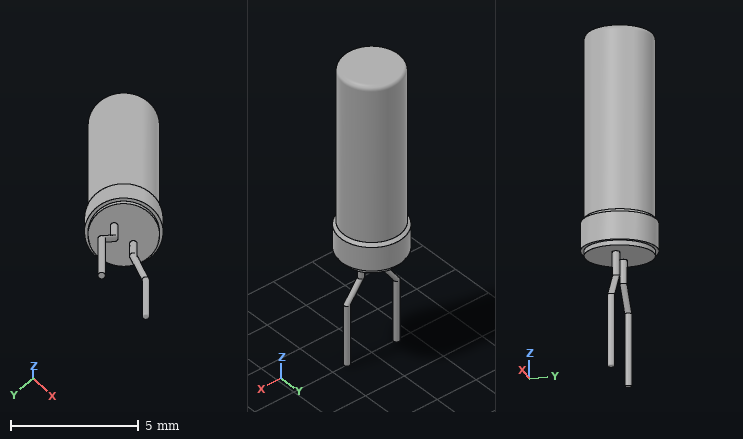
import cadquery as cq

can_diameter = 2.82
can_height = 9.2
can_top_fillet = 0.25

collar_diameter = 3.1
collar_bottom = 0.2
collar_top = 1.5
collar_chamfer = (collar_diameter - can_diameter) / 2

lead_diameter = 0.3
lead_length = 5.0
upper_pitch = 1.1
lower_pitch = 2.54
upper_bend_z = -1.0
lower_bend_z = -2.0
lead_tip_fillet = lead_diameter / 4


def make_can():
    can = cq.Workplane("XY").circle(can_diameter / 2).extrude(can_height)
    return can.faces(">Z").edges().fillet(can_top_fillet)


def make_collar():
    collar = (
        cq.Workplane("XY", origin=(0, 0, collar_bottom))
        .circle(collar_diameter / 2)
        .extrude(collar_top - collar_bottom)
    )
    return collar.faces(">Z").edges().chamfer(collar_chamfer)


def make_lead(side):
    """Lead on the side given by the sign (-1 or +1) of its X position."""
    upper_x = side * upper_pitch / 2
    lower_x = side * lower_pitch / 2
    radius = lead_diameter / 2

    upper = cq.Workplane("XY", origin=(upper_x, 0, upper_bend_z)).circle(radius).extrude(-upper_bend_z)
    slant = (
        cq.Workplane("XY", origin=(upper_x, 0, upper_bend_z))
        .circle(radius)
        .workplane(offset=lower_bend_z - upper_bend_z)
        .center(lower_x - upper_x, 0)
        .circle(radius)
        .loft(ruled=True)
    )
    lower = (
        cq.Workplane("XY", origin=(lower_x, 0, -lead_length))
        .circle(radius)
        .extrude(lead_length + lower_bend_z)
    )
    return upper.union(slant).union(lower)


square_lead = make_lead(-1)
rounded_lead = make_lead(1).faces("<Z").edges().fillet(lead_tip_fillet)

result = make_can().union(make_collar()).union(square_lead).union(rounded_lead)